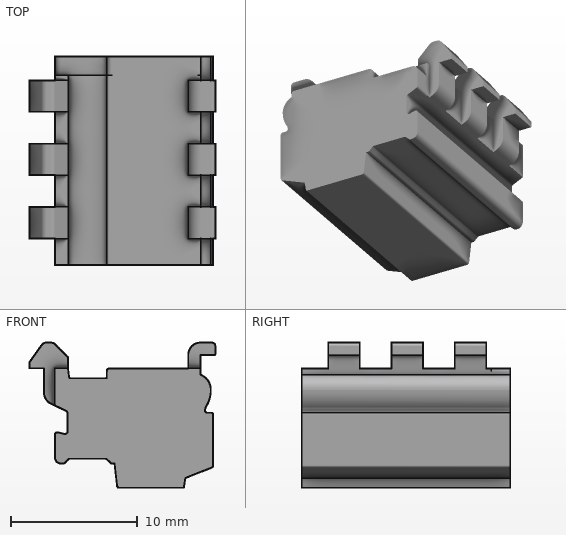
import cadquery as cq
import math

body_length = 16.5
end_section_length = 1.5
end_section_start = body_length - end_section_length
top_z = 9.45
overall_height = 11.5

recess_floor_z = 8.68
end_floor_z = 8.54
recess_step_x = 4.1
ridge_x = 1.05
recess_wall_lean = 0.1

small_round = 0.1
corner_round = 0.2
shoulder_round = 0.15
large_round = 0.5
end_step_round = 0.4

slot_x = 1.0
slot_entry_z = 6.51
slot_top_z = 6.03
slot_bottom_z = 4.22
lip_z = 4.46
foot_z = 1.92
foot_width = 0.74
channel_z = 2.3
channel_start_x = 1.12
channel_end_x = 4.07
channel_slope_run = 0.39

keel_left_x = 4.71
keel_bottom_left_x = 4.93
keel_bottom_right_x = 10.2
keel_right_x = 10.33
keel_right_z = 0.78

side_x = 12.52
side_bottom_z = 1.65
shoulder_z = 5.95
upper_side_x = 11.53
bulge_x = 12.34
bulge_z = 7.75
bulge_upper_radius = 1.3
bulge_lower_radius = 2.5
bulge_end_z = 6.37
groove_x = 11.87
groove_radius = 0.18

clip_count = 3
clip_pitch = 5.0
clip_width = 2.5
first_clip_y = 2.1

latch_tip_x = -2.0
latch_tip_height = 0.5
latch_top_left_x = -0.9
latch_top_right_x = -0.12
latch_right_height = 0.88
latch_stem_x = -0.87
latch_stem_round = 1.0

hook_thickness = 1.0
hook_tip_x = 12.7
hook_tip_round = 0.3
hook_bend_round = 1.0


def rounded_profile(corners, y_start, length):
    """Extrude an XZ outline along +Y; each corner is (x, z) or (x, z, round radius)."""
    path = cq.Workplane("XZ", origin=(0, y_start, 0))
    count = len(corners)
    for index, corner in enumerate(corners):
        point = cq.Vector(corner[0], corner[1])
        if len(corner) == 2:
            stops = [point]
        else:
            previous = corners[index - 1]
            following = corners[(index + 1) % count]
            back = (cq.Vector(previous[0], previous[1]) - point).normalized()
            ahead = (cq.Vector(following[0], following[1]) - point).normalized()
            half_angle = back.getAngle(ahead) / 2
            reach = corner[2] / math.tan(half_angle)
            centre_gap = corner[2] / math.sin(half_angle)
            inward = (back + ahead).normalized()
            stops = [
                point + back * reach,
                point + inward * (centre_gap - corner[2]),
                point + ahead * reach,
            ]
        stops = [(stop.x, stop.y) for stop in stops]
        path = path.moveTo(*stops[0]) if index == 0 else path.lineTo(*stops[0])
        if len(stops) > 1:
            path = path.threePointArc(stops[1], stops[2])
    return path.close().extrude(-length)


def lower_corners():
    """Outline from the shoulder, down the far side, under the body and up to the slot roof."""
    return [
        (upper_side_x, shoulder_z),
        (side_x, shoulder_z, shoulder_round),
        (side_x, side_bottom_z, corner_round),
        (keel_right_x, keel_right_z),
        (keel_bottom_right_x, 0, small_round),
        (keel_bottom_left_x, 0, corner_round),
        (keel_left_x, foot_z),
        (channel_end_x + channel_slope_run, foot_z, corner_round),
        (channel_end_x, channel_z, corner_round),
        (channel_start_x, channel_z, corner_round),
        (foot_width, foot_z, corner_round),
        (0, foot_z, large_round),
        (0, lip_z, corner_round),
        (slot_x, slot_bottom_z, corner_round),
        (slot_x, slot_top_z, corner_round),
    ]


def main_section():
    top_corners = [
        (0, slot_entry_z),
        (0, top_z),
        (ridge_x, top_z),
        (ridge_x + recess_wall_lean, recess_floor_z, small_round),
        (recess_step_x, recess_floor_z, small_round),
        (recess_step_x, top_z, corner_round),
        (upper_side_x, top_z),
    ]
    return rounded_profile(lower_corners() + top_corners, 0, end_section_start)


def end_section():
    top_corners = [
        (0, slot_entry_z, corner_round),
        (0, end_floor_z, large_round),
        (recess_step_x, end_floor_z),
        (recess_step_x, top_z, end_step_round),
        (upper_side_x, top_z, corner_round),
    ]
    return rounded_profile(lower_corners() + top_corners, end_section_start, end_section_length)


def bulge():
    """Rounded bead along the far side, undercut by a small groove above the shoulder."""
    upper_centre_x = bulge_x - bulge_upper_radius
    start_z = bulge_z + math.sqrt(bulge_upper_radius**2 - (upper_side_x - upper_centre_x) ** 2)
    lower_centre_x = bulge_x - bulge_lower_radius
    end_x = lower_centre_x + math.sqrt(bulge_lower_radius**2 - (bulge_z - bulge_end_z) ** 2)
    groove_centre_x = groove_x + groove_radius
    groove_centre_z = shoulder_z + groove_radius
    return (
        cq.Workplane("XZ")
        .moveTo(upper_side_x, start_z)
        .radiusArc((bulge_x, bulge_z), bulge_upper_radius)
        .radiusArc((end_x, bulge_end_z), bulge_lower_radius)
        .lineTo(groove_x, groove_centre_z)
        .radiusArc((groove_centre_x, shoulder_z), -groove_radius)
        .lineTo(upper_side_x, shoulder_z)
        .close()
        .extrude(-body_length)
    )


def latch(y_start):
    """Arrow-shaped head over a stem that runs down into the slot's sloped roof."""
    head_z = top_z + latch_right_height
    roof_slope = (slot_entry_z - slot_top_z) / slot_x
    stem_bottom_z = slot_entry_z - latch_stem_x * roof_slope
    corners = [
        (latch_tip_x, top_z),
        (latch_tip_x, top_z + latch_tip_height),
        (latch_top_left_x, overall_height, large_round),
        (latch_top_right_x, overall_height, large_round),
        (ridge_x, head_z),
        (ridge_x, top_z),
        (0, top_z),
        (0, slot_entry_z),
        (latch_stem_x, stem_bottom_z, latch_stem_round),
        (latch_stem_x, top_z),
    ]
    return rounded_profile(corners, y_start, clip_width)


def hook(y_start):
    """Upright on the far edge of the top, bent outwards over the bulge."""
    underside_z = overall_height - hook_thickness
    corners = [
        (upper_side_x - hook_thickness, top_z),
        (upper_side_x - hook_thickness, overall_height, hook_bend_round),
        (hook_tip_x, overall_height, hook_tip_round),
        (hook_tip_x, underside_z, small_round),
        (upper_side_x, underside_z),
        (upper_side_x, top_z),
    ]
    return rounded_profile(corners, y_start, clip_width)


result = main_section().union(end_section()).union(bulge())
for clip_index in range(clip_count):
    clip_y = first_clip_y + clip_index * clip_pitch
    result = result.union(latch(clip_y)).union(hook(clip_y))